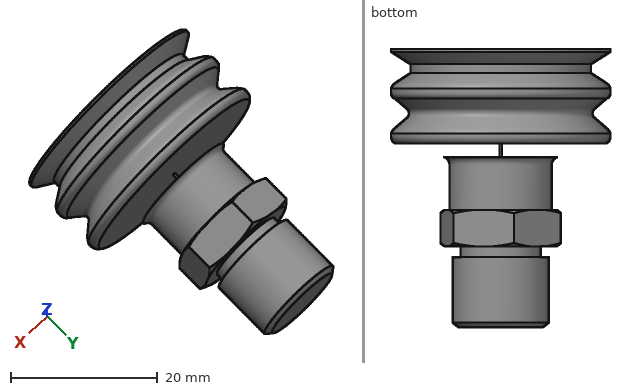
import cadquery as cq
import math

total_length = 38.02

cup_radius = 15.0
lip_height = 0.4
lower_valley_radius = 12.35
lower_valley_start = 2.1
lower_valley_end = 3.3
fold_shoulder_radius = 14.45
lower_fold_start = 4.68
lower_crest_start = 5.45
lower_crest_end = 6.05
lower_fold_end = 6.8
upper_valley_radius = 12.8
upper_valley_floor_radius = 12.55
upper_valley_start = 8.2
upper_valley_end = 9.4
upper_fold_start = 10.8
upper_crest_start = 11.55
upper_crest_end = 11.98
cup_top_radius = 14.37
cup_height = 12.93

sleeve_radius = 7.0
flare_radius = 7.7
flare_start = 14.8
flare_end = 15.8

across_flats = 14.98
across_corners = across_flats / math.cos(math.radians(30))
hex_start = 21.98
hex_end = 26.95
hex_turn = 42.1
hex_end_radius = 7.6
hex_chamfer_height = 0.45

relief_radius = 5.495
thread_radius = 6.58
thread_start = 28.45
thread_chamfer_width = 0.85
thread_chamfer_height = 0.65

core_radius = 0.2


def revolve_about_y(outline):
    return outline.close().revolve(360, (0, 0, 0), (0, 1, 0))


def cylinder_along_y(radius, start, end):
    return cq.Workplane("XZ", origin=(0, start, 0)).circle(radius).extrude(start - end)


def make_bellows():
    upper_valley_middle = (upper_valley_start + upper_valley_end) / 2
    outline = (
        cq.Workplane("XY")
        .lineTo(cup_radius, 0)
        .lineTo(cup_radius, lip_height)
        .lineTo(lower_valley_radius, lower_valley_start)
        .lineTo(lower_valley_radius, lower_valley_end)
        .lineTo(fold_shoulder_radius, lower_fold_start)
        .tangentArcPoint((cup_radius, lower_crest_start), relative=False)
        .lineTo(cup_radius, lower_crest_end)
        .tangentArcPoint((fold_shoulder_radius, lower_fold_end), relative=False)
        .lineTo(upper_valley_radius, upper_valley_start)
        .threePointArc(
            (upper_valley_floor_radius, upper_valley_middle),
            (upper_valley_radius, upper_valley_end),
        )
        .lineTo(fold_shoulder_radius, upper_fold_start)
        .tangentArcPoint((cup_radius, upper_crest_start), relative=False)
        .lineTo(cup_radius, upper_crest_end)
        .tangentArcPoint((cup_top_radius, cup_height), relative=False)
        .lineTo(0, cup_height)
    )
    return revolve_about_y(outline)


def make_sleeve():
    outline = (
        cq.Workplane("XY")
        .moveTo(0, flare_start)
        .lineTo(0, hex_start)
        .lineTo(sleeve_radius, hex_start)
        .lineTo(sleeve_radius, flare_end)
        .tangentArcPoint((flare_radius, flare_start), relative=False)
    )
    return revolve_about_y(outline)


def make_hexagon():
    prism = (
        cq.Workplane("XZ", origin=(0, hex_start, 0))
        .transformed(rotate=(0, 0, hex_turn))
        .polygon(6, across_corners)
        .extrude(hex_start - hex_end)
    )
    corner_radius = across_corners / 2
    chamfer_outline = (
        cq.Workplane("XY")
        .moveTo(0, hex_start)
        .lineTo(hex_end_radius, hex_start)
        .lineTo(corner_radius, hex_start + hex_chamfer_height)
        .lineTo(corner_radius, hex_end - hex_chamfer_height)
        .lineTo(hex_end_radius, hex_end)
        .lineTo(0, hex_end)
    )
    return prism.intersect(revolve_about_y(chamfer_outline))


def make_thread():
    outline = (
        cq.Workplane("XY")
        .moveTo(0, hex_end)
        .lineTo(relief_radius, hex_end)
        .lineTo(relief_radius, thread_start)
        .lineTo(thread_radius, thread_start)
        .lineTo(thread_radius, total_length - thread_chamfer_height)
        .lineTo(thread_radius - thread_chamfer_width, total_length)
        .lineTo(0, total_length)
    )
    return revolve_about_y(outline)


core = cylinder_along_y(core_radius, cup_height, flare_start)
fitting = make_sleeve().union(make_hexagon()).union(make_thread())
result = make_bellows().union(core).union(fitting)